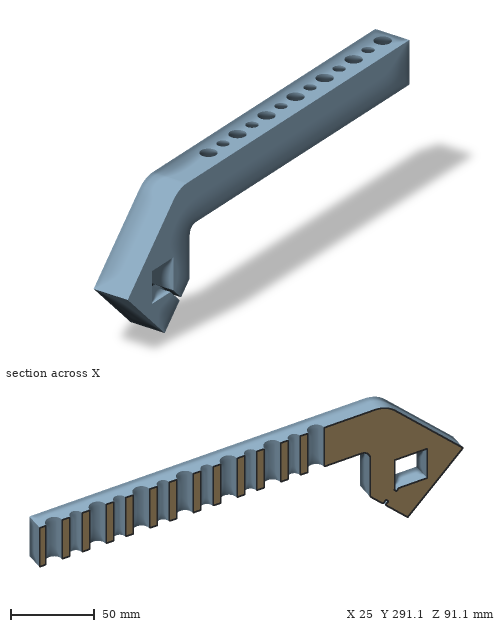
import cadquery as cq
import math


width = 25.0
bar_height = 30.0

head_angle = 45.0
bend_distance = 200.0
socket_drop = 55.0
head_half_width = 27.0
socket_to_end = 24.0
neck_face_distance = 227.0
outer_bend_radius = 20.0
inner_corner_radius = 6.0

socket_size = 22.0
slit_width = 2.0

pin_diameter = 8.0
pin_offset = 20.0

large_hole_diameter = 11.0
small_hole_diameter = 8.0
first_hole_distance = 10.0
hole_pitch = 15.0
hole_count = 13

diagonal = math.cos(math.radians(head_angle))
socket_y = -(bend_distance + socket_drop)
socket_z = -socket_drop
side_offset = head_half_width * diagonal
end_offset = socket_to_end * diagonal
outer_bend_y = -(bend_distance + head_half_width / diagonal)
neck_y = -neck_face_distance
tip_y = socket_y - end_offset - side_offset
tip_z = socket_z - end_offset + side_offset
heel_y = socket_y - end_offset + side_offset
heel_z = socket_z - end_offset - side_offset
neck_bottom_z = heel_z + (neck_y - heel_y)


def extrude_across(outline):
    """Extrude a YZ outline over the full width, centred on X = 0."""
    return outline.extrude(width / 2, both=True)


def make_body():
    """Bar and clamp head, with the bend and the inner corner rounded."""
    outline = (
        cq.Workplane("YZ")
        .moveTo(0, 0)
        .lineTo(outer_bend_y, 0)
        .lineTo(tip_y, tip_z)
        .lineTo(heel_y, heel_z)
        .lineTo(neck_y, neck_bottom_z)
        .lineTo(neck_y, -bar_height)
        .lineTo(0, -bar_height)
        .close()
    )
    body = extrude_across(outline)
    outer_bend = cq.selectors.NearestToPointSelector((0, outer_bend_y, 0))
    inner_corner = cq.selectors.NearestToPointSelector((0, neck_y, -bar_height))
    body = body.edges("|X").edges(inner_corner).fillet(inner_corner_radius)
    return body.edges("|X").edges(outer_bend).fillet(outer_bend_radius)


def make_socket():
    """Square through-socket with sides parallel to Y and Z."""
    outline = cq.Workplane("YZ").center(socket_y, socket_z).rect(socket_size, socket_size)
    return extrude_across(outline)


def slit_plane():
    """Plane at the socket centre with its x axis along the slit and y along the head axis."""
    return (
        cq.Workplane("YZ")
        .center(socket_y, socket_z)
        .transformed(rotate=(0, 0, -head_angle))
    )


def make_slit():
    """Slit from the socket's lower corner out through the head's side.

    Its upper wall runs through the socket corner, at right angles to the side.
    """
    slit_length = head_half_width + slit_width
    outline = (
        slit_plane()
        .moveTo(0, 0)
        .lineTo(slit_length, 0)
        .lineTo(slit_length, -slit_width)
        .lineTo(0, -slit_width)
        .close()
    )
    return extrude_across(outline)


def make_pin():
    """Round pin that joins the two walls of the slit at mid-width."""
    return (
        slit_plane()
        .center(pin_offset, 0)
        .transformed(rotate=(90, 0, 0))
        .circle(pin_diameter / 2)
        .extrude(slit_width)
    )


def make_holes():
    """Row of vertical through-holes, starting with a large one at the tail."""
    holes = cq.Workplane("XY")
    for index in range(hole_count):
        diameter = large_hole_diameter if index % 2 == 0 else small_hole_diameter
        hole_y = -(first_hole_distance + index * hole_pitch)
        hole = cq.Workplane("XY").center(0, hole_y).circle(diameter / 2).extrude(-bar_height)
        holes = holes.add(hole)
    return holes.combine()


result = make_body().cut(make_socket()).cut(make_slit()).cut(make_holes()).union(make_pin())